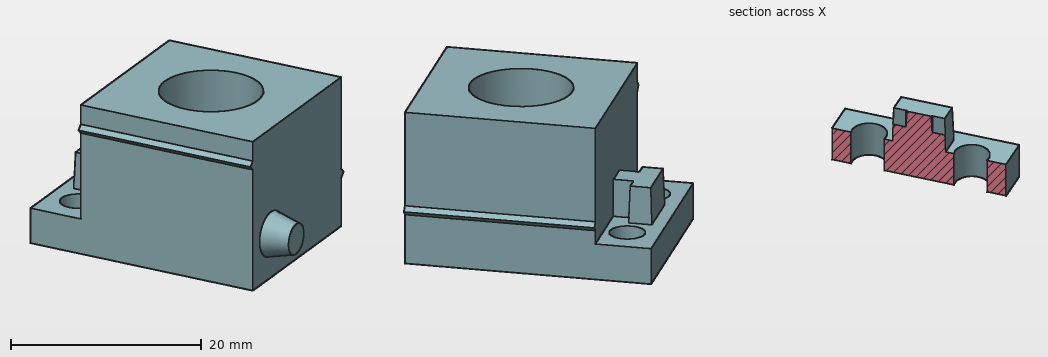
import cadquery as cq
import math

body_depth = 19.5
block_length = 20.5
block_height = 17.0
foot_length = 6.0
foot_height = 4.0
bore_diameter = 11.0

block_left = -block_length / 2
block_right = block_length / 2
foot_left = block_left - foot_length

screw_hole_diameter = 3.8
screw_hole_offset = 5.75
screw_hole_edge_distance = 3.5
screw_hole_x = foot_left + screw_hole_edge_distance

key_edge_distance = 1.5
key_left = foot_left + key_edge_distance
key_height = 4.1
key_head_length = 2.5
key_head_width = 6.0
key_stem_width = 3.02
key_draft_angle = 2.0
key_overlap = 1.0

rib_projection = 0.5
front_rib_height = 14.3
back_rib_height = 6.0

peg_length = 3.0
peg_base_diameter = 5.0
peg_taper_angle = 15.0
peg_y = -screw_hole_offset
peg_height = 5.0


def make_body():
    total_length = block_right - foot_left
    foot = cq.Workplane("XY").box(total_length, body_depth, foot_height, centered=(False, True, False))
    foot = foot.translate((foot_left, 0, 0))
    block = cq.Workplane("XY").box(block_length, body_depth, block_height, centered=(True, True, False))
    return foot.union(block)


def make_key():
    """T-shaped key; its stem runs into the block so that only its free sides taper."""
    head_half = key_head_width / 2
    stem_half = key_stem_width / 2
    head_right = key_left + key_head_length
    stem_end = block_left + key_overlap
    return (
        cq.Workplane("XY", origin=(0, 0, foot_height))
        .polyline([
            (key_left, -head_half),
            (head_right, -head_half),
            (head_right, -stem_half),
            (stem_end, -stem_half),
            (stem_end, stem_half),
            (head_right, stem_half),
            (head_right, head_half),
            (key_left, head_half),
        ])
        .close()
        .extrude(key_height, taper=key_draft_angle)
    )


def make_rib(side, height):
    """45-degree V rib along the block; side is -1 for the -Y face and +1 for the +Y face."""
    face_y = side * body_depth / 2
    return (
        cq.Workplane("YZ", origin=(block_left, 0, 0))
        .polyline([
            (face_y, height - rib_projection),
            (face_y + side * rib_projection, height),
            (face_y, height + rib_projection),
        ])
        .close()
        .extrude(block_length)
    )


def make_peg():
    base_radius = peg_base_diameter / 2
    tip_radius = base_radius - peg_length * math.tan(math.radians(peg_taper_angle))
    base_center = cq.Vector(block_right, peg_y, peg_height)
    cone = cq.Solid.makeCone(base_radius, tip_radius, peg_length, base_center, cq.Vector(1, 0, 0))
    return cq.Workplane("XY").add(cone)


def make_holes():
    bore = cq.Workplane("XY").circle(bore_diameter / 2).extrude(block_height)
    screw_holes = (
        cq.Workplane("XY")
        .pushPoints([(screw_hole_x, side * screw_hole_offset) for side in (-1, 1)])
        .circle(screw_hole_diameter / 2)
        .extrude(foot_height)
    )
    return bore.union(screw_holes)


result = (
    make_body()
    .union(make_key())
    .union(make_rib(-1, front_rib_height))
    .union(make_rib(1, back_rib_height))
    .union(make_peg())
    .cut(make_holes())
)